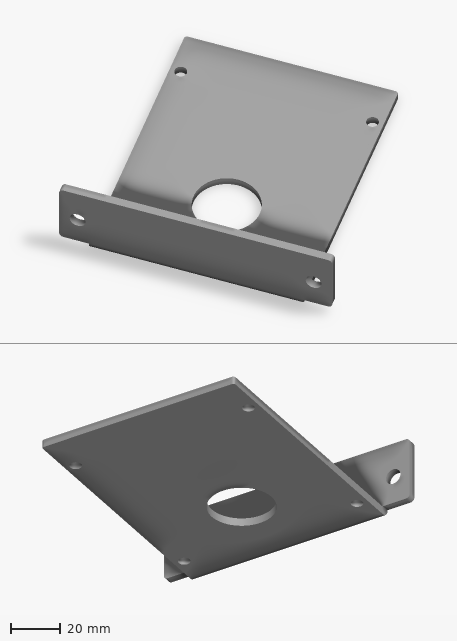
import cadquery as cq

thickness = 3.6
length = 119.0
height = 32.6
bend_inner_radius = 0.4
bend_outer_radius = bend_inner_radius + thickness

base_width = 92.0
base_corner_radius = 1.2
mount_hole_diameter = 5.2
mount_hole_spacing = 82.6
mount_hole_front = 16.1
mount_hole_back = 100.2
opening_diameter = 28.6
opening_y = 38.5

flange_width = 117.5
flange_bottom = bend_outer_radius
flange_height = height - flange_bottom
flange_corner_radius = 1.8
flange_hole_diameter = 6.9
flange_hole_spacing = 101.6
flange_hole_z = 16.7


def make_base():
    """Flat plate with rounded rear corners, four mounting holes and a large opening."""
    base_length = length - bend_outer_radius
    plate = (
        cq.Workplane("XY")
        .box(base_width, base_length, thickness, centered=(True, False, False))
        .translate((0, bend_outer_radius, 0))
        .edges("|Z and >Y")
        .fillet(base_corner_radius)
    )
    half_spacing = mount_hole_spacing / 2
    mount_points = [
        (x, y)
        for x in (-half_spacing, half_spacing)
        for y in (mount_hole_front, mount_hole_back)
    ]
    mount_holes = (
        cq.Workplane("XY")
        .pushPoints(mount_points)
        .circle(mount_hole_diameter / 2)
        .extrude(thickness)
    )
    opening = (
        cq.Workplane("XY")
        .center(0, opening_y)
        .circle(opening_diameter / 2)
        .extrude(thickness)
    )
    return plate.cut(mount_holes).cut(opening)


def make_bend():
    """Quarter-round bend joining the base to the flange."""
    center = bend_outer_radius
    diagonal = 0.5 ** 0.5
    outer_mid = center - bend_outer_radius * diagonal
    inner_mid = center - bend_inner_radius * diagonal
    return (
        cq.Workplane("YZ")
        .moveTo(center, 0)
        .threePointArc((outer_mid, outer_mid), (0, center))
        .lineTo(thickness, center)
        .threePointArc((inner_mid, inner_mid), (center, thickness))
        .close()
        .extrude(base_width / 2, both=True)
    )


def make_flange():
    """Upright plate with rounded corners and one hole near each end."""
    plate = (
        cq.Workplane("XY")
        .box(flange_width, thickness, flange_height, centered=(True, False, False))
        .translate((0, 0, flange_bottom))
        .edges("|Y")
        .fillet(flange_corner_radius)
    )
    half_spacing = flange_hole_spacing / 2
    holes = (
        cq.Workplane("XZ")
        .pushPoints([(-half_spacing, flange_hole_z), (half_spacing, flange_hole_z)])
        .circle(flange_hole_diameter / 2)
        .extrude(-thickness)
    )
    return plate.cut(holes)


result = make_base().union(make_bend()).union(make_flange())